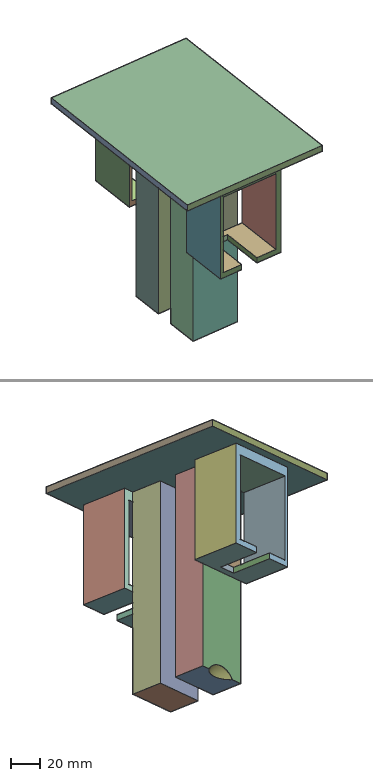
import cadquery as cq

PLATE_LENGTH = 154.0
PLATE_WIDTH = 114.3
PLATE_THICKNESS = 5.0

TOTAL_HEIGHT = 157.5
LEG_INNER_X = 7.0
LEG_OUTER_X = 32.5
LEG_WIDTH = 37.8

CHANNEL_OUTER_X = 70.7
CHANNEL_BACK_Y = 27.0
CHANNEL_FRONT_Y = -24.4
CHANNEL_BOTTOM_Z = -80.3
BACK_WALL = 4.4
FRONT_WALL = 2.5
FLOOR_THICKNESS = 4.4
CEILING_THICKNESS = 7.4
SLOT_WIDTH = 12.9
SLOT_END_WEB = 5.0

HOLLOW_RADIUS = 16.5
HOLLOW_OFFSET = 9.3
HOLLOW_CENTRE_Y = 1.1
HOLLOW_DROP = 7.2


def block(x_range, y_range, z_range):
    """Axis-aligned block spanning the given (low, high) ranges."""
    lows, highs = zip(x_range, y_range, z_range)
    sizes = [high - low for low, high in zip(lows, highs)]
    return cq.Workplane("XY").box(*sizes, centered=False).translate(lows)


def make_leg():
    """Solid leg on the +X side."""
    return block(
        (LEG_INNER_X, LEG_OUTER_X),
        (-LEG_WIDTH / 2, LEG_WIDTH / 2),
        (-TOTAL_HEIGHT, -PLATE_THICKNESS),
    )


def make_channel():
    """Channel on the +X side, open at its outer end and slotted along its floor."""
    x_range = (LEG_OUTER_X, CHANNEL_OUTER_X)
    floor_top_z = CHANNEL_BOTTOM_Z + FLOOR_THICKNESS
    outer = block(
        x_range,
        (CHANNEL_FRONT_Y, CHANNEL_BACK_Y),
        (CHANNEL_BOTTOM_Z, -PLATE_THICKNESS),
    )
    cavity = block(
        x_range,
        (CHANNEL_FRONT_Y + FRONT_WALL, CHANNEL_BACK_Y - BACK_WALL),
        (floor_top_z, -PLATE_THICKNESS - CEILING_THICKNESS),
    )
    slot = block(
        (LEG_OUTER_X + SLOT_END_WEB, CHANNEL_OUTER_X),
        (-SLOT_WIDTH / 2, SLOT_WIDTH / 2),
        (CHANNEL_BOTTOM_Z, floor_top_z),
    )
    return outer.cut(cavity).cut(slot)


plate = block(
    (-PLATE_LENGTH / 2, PLATE_LENGTH / 2),
    (-PLATE_WIDTH / 2, PLATE_WIDTH / 2),
    (-PLATE_THICKNESS, 0),
)

half_supports = make_leg().union(make_channel())
supports = half_supports.union(half_supports.mirror("YZ"))

hollow = cq.Workplane("XY").sphere(HOLLOW_RADIUS).translate(
    (-LEG_OUTER_X - HOLLOW_OFFSET, HOLLOW_CENTRE_Y, -TOTAL_HEIGHT - HOLLOW_DROP)
)

result = plate.union(supports).cut(hollow)